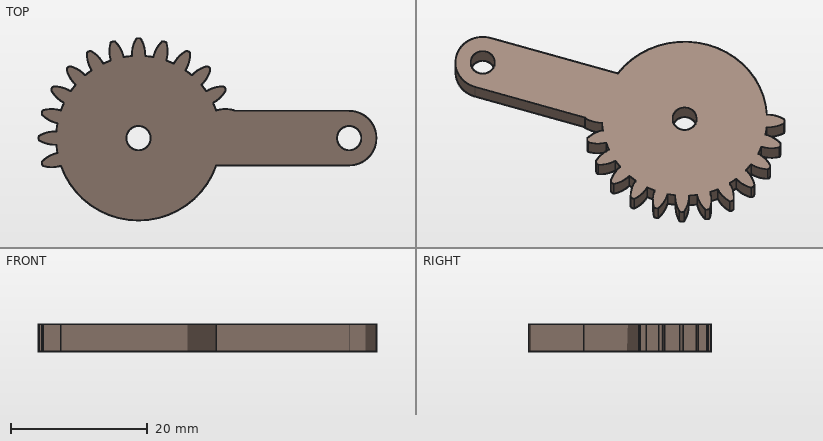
import cadquery as cq
import math

thickness = 4.0
root_radius = 12.05
tip_radius = 14.6
bore_diameter = 3.5

overall_length = 49.4
arm_width = 8.0
arm_end_radius = arm_width / 2
arm_hole_x = overall_length - tip_radius - arm_end_radius

tooth_pitch_angle = 360 / 24
tooth_count = 13
first_tooth_angle = 15.0
root_half_width = 1.0
middle_half_width = 0.8
tip_half_width = 0.35
flank_middle_radius = 13.55
flank_tip_radius = 14.5


def make_tooth(angle):
    """Tooth with convex flanks and a rounded tip, turned to the given angle."""
    foot_x = math.sqrt(root_radius**2 - root_half_width**2)
    base_x = root_radius / 2
    outline = (
        cq.Workplane("XY")
        .moveTo(base_x, -root_half_width)
        .lineTo(foot_x, -root_half_width)
        .threePointArc((flank_middle_radius, -middle_half_width), (flank_tip_radius, -tip_half_width))
        .threePointArc((tip_radius, 0), (flank_tip_radius, tip_half_width))
        .threePointArc((flank_middle_radius, middle_half_width), (foot_x, root_half_width))
        .lineTo(base_x, root_half_width)
        .close()
    )
    return outline.extrude(thickness).rotate((0, 0, 0), (0, 0, 1), angle)


def make_arm():
    """Straight bar from the gear centre with a full-round end."""
    return (
        cq.Workplane("XY")
        .moveTo(0, -arm_end_radius)
        .lineTo(arm_hole_x, -arm_end_radius)
        .threePointArc((arm_hole_x + arm_end_radius, 0), (arm_hole_x, arm_end_radius))
        .lineTo(0, arm_end_radius)
        .close()
        .extrude(thickness)
    )


body = cq.Workplane("XY").circle(root_radius).extrude(thickness).union(make_arm())
for index in range(tooth_count):
    body = body.union(make_tooth(first_tooth_angle + index * tooth_pitch_angle))

hole_centers = [(0, 0), (arm_hole_x, 0)]
holes = cq.Workplane("XY").pushPoints(hole_centers).circle(bore_diameter / 2).extrude(thickness)
result = body.cut(holes)